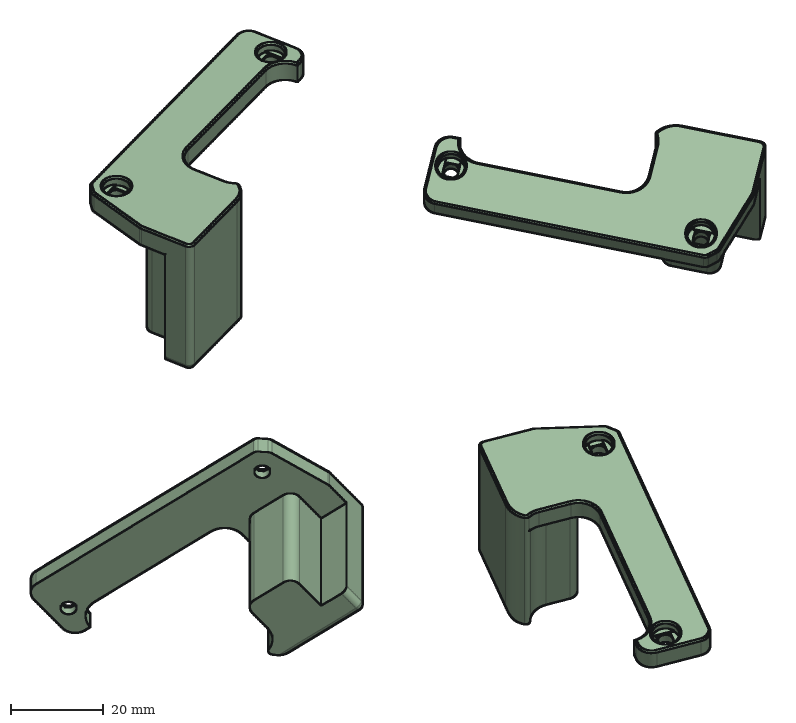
import cadquery as cq
import math

width = 29.95
length = 69.7
height = 35.0
plate_thickness = 5.0
plate_bottom = height - plate_thickness
edge_chamfer = 0.4

arm_width = 11.65
inner_radius = 4.95
shelf_y = 23.1
hook_root_y = 59.8
hook_reach = arm_width + inner_radius
end_corner_radius = 3.0
hook_corner_radius = 3.5
corner_cut_start = (0, 6.75)
corner_cut_end = (2.15, 4.4)
slope_end = (17.1, 0)
bend_radius = 1.75
front_corner_radius = 1.45

horn_radius = 1.0
horn_x = 26.8
horn_y = 22.9
horn_side_radius = 6.0
horn_flare_radius = 5.0

column_left = 13.25
column_front = 7.0
column_back = 19.9
column_corner_radius = 2.5
wall_left = 23.35

hole_diameter = 3.4
counterbore_diameter = 6.0
counterbore_depth = 2.0
step_width = 3.3
step_depth = 0.3
lower_hole = (5.35, 9.05)
upper_hole = (9.55, 65.2)

side_center_x = width - horn_side_radius
side_dx = horn_x - side_center_x
side_end_y = horn_y - math.sqrt((horn_side_radius - horn_radius) ** 2 - side_dx**2)
side_angle = math.atan2(horn_y - side_end_y, side_dx)


def arc_point(center, radius, angle):
    """Point on a circle at an angle from +X."""
    return (center[0] + radius * math.cos(angle), center[1] + radius * math.sin(angle))


def draw_horn(outline, back_y):
    """Continue from the right side, round the horn, and flare into a straight edge at back_y."""
    tip_center = (horn_x, horn_y)
    side_center = (side_center_x, side_end_y)

    flare_center_y = back_y + horn_flare_radius
    flare_dy = flare_center_y - horn_y
    flare_dx = math.sqrt((horn_flare_radius + horn_radius) ** 2 - flare_dy**2)
    flare_center = (horn_x - flare_dx, flare_center_y)
    tip_end_angle = math.atan2(flare_dy, -flare_dx)
    flare_middle_angle = (math.atan2(-flare_dy, flare_dx) - math.pi / 2) / 2

    tip_start = arc_point(tip_center, horn_radius, side_angle)
    tip_middle = arc_point(tip_center, horn_radius, (side_angle + tip_end_angle) / 2)
    tip_end = arc_point(tip_center, horn_radius, tip_end_angle)
    side_middle = arc_point(side_center, horn_side_radius, side_angle / 2)
    flare_middle = arc_point(flare_center, horn_flare_radius, flare_middle_angle)
    return (
        outline.lineTo(width, side_end_y)
        .threePointArc(side_middle, tip_start)
        .threePointArc(tip_middle, tip_end)
        .threePointArc(flare_middle, (flare_center[0], back_y))
    )


def vertical_edge_at(x, y):
    """Selector for the vertical edge at the given place."""
    margin = 0.1
    low_corner = (x - margin, y - margin, 0)
    high_corner = (x + margin, y + margin, height)
    return cq.selectors.BoxSelector(low_corner, high_corner)


def make_plate():
    front = cq.Workplane(origin=(0, 0, plate_bottom)).moveTo(*slope_end).lineTo(width, 0)
    plate = (
        draw_horn(front, shelf_y)
        .lineTo(hook_reach, shelf_y)
        .radiusArc((arm_width, shelf_y + inner_radius), inner_radius)
        .lineTo(arm_width, hook_root_y)
        .radiusArc((hook_reach, hook_root_y + inner_radius), inner_radius)
        .lineTo(hook_reach, length)
        .lineTo(0, length)
        .lineTo(*corner_cut_start)
        .lineTo(*corner_cut_end)
        .close()
        .extrude(plate_thickness)
    )
    rounded_corners = [
        ((hook_reach, length), hook_corner_radius),
        ((0, length), end_corner_radius),
        (corner_cut_start, front_corner_radius),
        (corner_cut_end, bend_radius),
        (slope_end, bend_radius),
        ((width, 0), front_corner_radius),
    ]
    for corner, radius in rounded_corners:
        plate = plate.edges(vertical_edge_at(*corner)).fillet(radius)
    return plate.faces(">Z").edges().chamfer(edge_chamfer)


def make_column():
    front = cq.Workplane().moveTo(wall_left, 0).lineTo(width, 0)
    column = (
        draw_horn(front, column_back)
        .lineTo(column_left, column_back)
        .lineTo(column_left, column_front)
        .lineTo(wall_left, column_front)
        .close()
        .extrude(plate_bottom)
    )
    for y in (column_front, column_back):
        column = column.edges(vertical_edge_at(column_left, y)).fillet(column_corner_radius)

    rounded_block = (
        cq.Workplane()
        .box(width, length, plate_bottom, centered=False)
        .edges(vertical_edge_at(width, 0))
        .fillet(front_corner_radius)
        .edges("<Z and (<Y or >X)")
        .fillet(front_corner_radius)
    )
    return column.intersect(rounded_block)


def make_hole(place, slot_angle):
    """Cutter for a screw hole: chamfered counterbore, slot, square step and round bore."""
    floor = cq.Workplane(origin=(*place, height - counterbore_depth))
    counterbore_radius = counterbore_diameter / 2
    counterbore = floor.circle(counterbore_radius).extrude(counterbore_depth)
    rim = (
        cq.Workplane(origin=(*place, height))
        .circle(counterbore_radius + edge_chamfer)
        .workplane(offset=-edge_chamfer)
        .circle(counterbore_radius)
        .loft()
    )
    slot = (
        floor.transformed(rotate=(0, 0, slot_angle))
        .rect(counterbore_diameter, step_width)
        .extrude(-step_depth)
        .intersect(floor.circle(counterbore_radius).extrude(-step_depth))
    )
    square = floor.rect(step_width, step_width).extrude(-2 * step_depth)
    bore = cq.Workplane(origin=(*place, plate_bottom)).circle(hole_diameter / 2)
    bore = bore.extrude(plate_thickness - counterbore_depth - 2 * step_depth)
    return counterbore.union(rim).union(slot).union(square).union(bore)


result = (
    make_plate()
    .union(make_column())
    .cut(make_hole(lower_hole, slot_angle=90))
    .cut(make_hole(upper_hole, slot_angle=0))
)